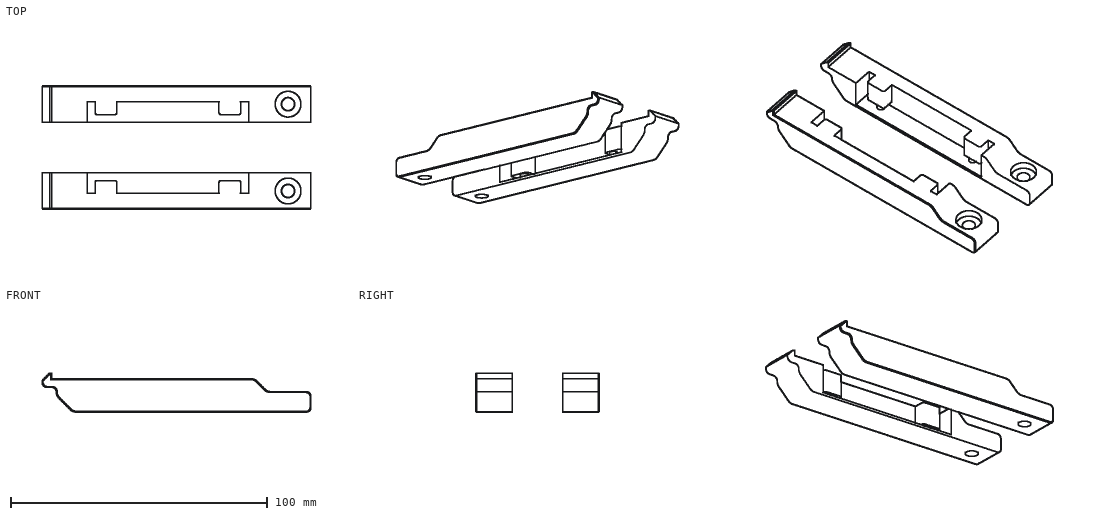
import cadquery as cq
import math

length = 104.6
pair_width = 48.0
height = 15.2
rail_width = 14.2
outer_y = pair_width / 2
inner_y = outer_y - rail_width

deck_z = 13.0
shelf_z = 8.0
ramp_start_x = 82.6
bend_radius = 3.0
end_radius = 1.8
outer_chamfer = 0.3

hook_back_x = 3.7
hook_tip_flat = 0.7
hook_under_z = 9.6
hook_nose_radius = 2.0
throat_x = 5.5
throat_radius = 1.8
heel_z = 6.4

pocket_start_x = 17.6
pocket_length = 62.8
pocket_depth = 8.1
floor_thickness = 1.0

tab_inset = 3.0
tab_length = 8.5
tab_corner_radius = 0.8
tab_under_z = 3.7
pin_diameter = 3.0
pin_end_distance = 8.4
pin_face_distance = 5.0

screw_x = 95.7
screw_y = inner_y + rail_width / 2
screw_diameter = 5.0
counterbore_diameter = 10.0
counterbore_depth = 3.0

pocket_end_x = pocket_start_x + pocket_length
pocket_wall_y = inner_y + pocket_depth
tab_face_y = inner_y + tab_inset
tab_center_distance = tab_inset + tab_length / 2
tab_and_pin_places = [
    (pocket_start_x + tab_center_distance, pocket_start_x + pin_end_distance),
    (pocket_end_x - tab_center_distance, pocket_end_x - pin_end_distance),
]


def rounded_outline(corners):
    """Closed XZ wire through (x, z, radius) corners, each rounded by its radius."""
    wire = cq.Workplane("XZ")
    started = False
    for i, (x, z, radius) in enumerate(corners):
        corner = cq.Vector(x, z)
        before = cq.Vector(*corners[i - 1][:2])
        after = cq.Vector(*corners[(i + 1) % len(corners)][:2])
        to_before = (before - corner).normalized()
        to_after = (after - corner).normalized()
        half_angle = to_before.getAngle(to_after) / 2
        setback = radius / math.tan(half_angle)
        first = corner + to_before * setback
        wire = wire.lineTo(first.x, first.y) if started else wire.moveTo(first.x, first.y)
        started = True
        if radius > 0:
            bisector = (to_before + to_after).normalized()
            middle = corner + bisector * (radius / math.sin(half_angle) - radius)
            last = corner + to_after * setback
            wire = wire.threePointArc((middle.x, middle.y), (last.x, last.y))
    return wire.close()


def rail_blank():
    """Solid bar with the hook, ramp and shelf, chamfered around its outer side."""
    tip_x = hook_back_x - hook_tip_flat
    corners = [
        (0, height - tip_x, 0),
        (tip_x, height, 0),
        (hook_back_x, height, 0),
        (hook_back_x, deck_z, 0),
        (ramp_start_x, deck_z, bend_radius),
        (ramp_start_x + deck_z - shelf_z, shelf_z, bend_radius),
        (length, shelf_z, end_radius),
        (length, 0, end_radius),
        (throat_x + heel_z, 0, bend_radius),
        (throat_x, heel_z, bend_radius),
        (throat_x, hook_under_z, throat_radius),
        (0, hook_under_z, hook_nose_radius),
    ]
    blank = rounded_outline(corners).extrude(-rail_width).translate((0, inner_y, 0))
    return blank.faces(">Y").chamfer(outer_chamfer)


def tab(center_x, pin_x):
    """Block with rounded front corners, held above the pocket floor by a pin."""
    block_depth = pocket_wall_y - tab_face_y
    block = (
        cq.Workplane("XY", origin=(center_x, tab_face_y + block_depth / 2, tab_under_z))
        .rect(tab_length, block_depth)
        .extrude(deck_z - tab_under_z)
        .edges("|Z and <Y")
        .fillet(tab_corner_radius)
    )
    pin = (
        cq.Workplane("XY", origin=(pin_x, inner_y + pin_face_distance, floor_thickness))
        .circle(pin_diameter / 2)
        .extrude(tab_under_z - floor_thickness)
    )
    return block.union(pin)


def build_rail():
    """Rail on the +Y side."""
    rail = rail_blank()
    pocket = cq.Workplane("XY").box(
        pocket_length, pocket_depth, height, centered=False
    ).translate((pocket_start_x, inner_y, floor_thickness))
    rail = rail.cut(pocket)
    for center_x, pin_x in tab_and_pin_places:
        rail = rail.union(tab(center_x, pin_x))
    return (
        rail.copyWorkplane(cq.Workplane("XY", origin=(screw_x, screw_y, shelf_z)))
        .cboreHole(screw_diameter, counterbore_diameter, counterbore_depth)
    )


left_rail = build_rail()
right_rail = left_rail.mirror("XZ")

result = cq.Compound.makeCompound([left_rail.val(), right_rail.val()])